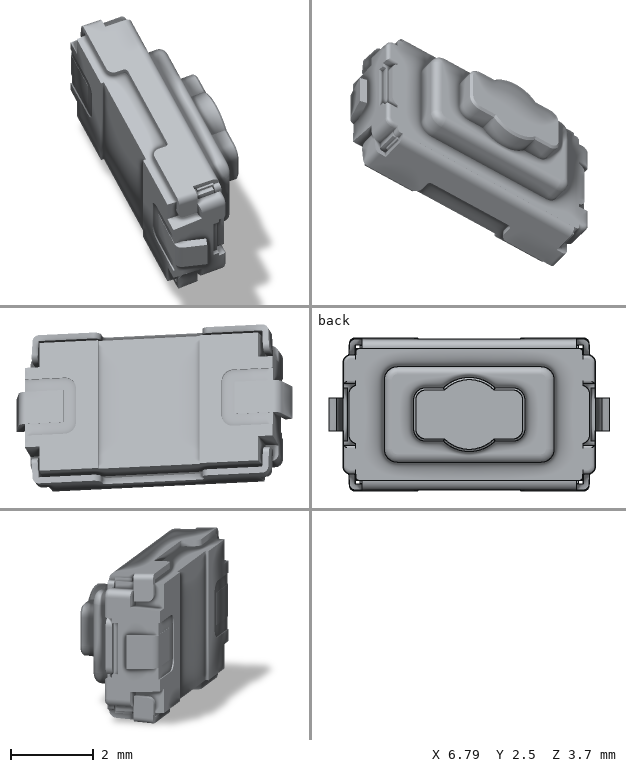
import cadquery as cq
import math


base_half_length = 3.05
base_top = 1.405
lower_half_width = 1.595
lower_half_length = 2.74
lower_top = 1.2
lower_draft = 0.055
end_half_width = 1.44
end_corner_radius = 0.18
end_top_radius = 0.095
notch_half_width = 0.99
notch_height_inner = 0.69
notch_height_outer = 0.755
rim_half_length = 2.64
rim_half_width = 1.67
rim_bottom = 0.815
channel_half_length = 1.25
channel_depth = 0.075
pad_inner_x = 1.79
pad_half_width = 0.7
pad_corner_radius = 0.28
pad_depth = 0.035
end_slot_half_width = 0.75
end_slot_lip_radius = 0.07
end_recess_half_width = 0.64
end_recess_bottom = 1.06
end_recess_depth = 0.1

sheet = 0.15
plate_bottom = 1.24
plate_half_width = lower_half_width
plate_corner_radius = 0.095
tongue_end_x = 2.905
tongue_half_width = 0.705
tongue_corner_radius = 0.205
cover_half_width = 3.7 / 2
skirt_flare = 2.7
skirt_bottom = 0.21
skirt_bend_radius = 0.19
skirt_half_length = 2.595
skirt_notch_top = 0.665
skirt_notch_top_radius = 0.09
skirt_notch_foot_radius = 0.175
ear_top = 0.705
ear_bend_x = 2.75
ear_tip_z = 1.14
ear_tip_radius = 0.16
ear_splay = 3.0

lead_reach = 3.395
lead_bottom = 0.03
lead_half_width = 0.4
lead_inner_x = 2.1
lead_thickness = 0.19
lead_tilt = 16.0
lead_arm = 0.6

shoulder_half_length = 2.05
shoulder_half_width = 1.155
shoulder_top = 1.995
shoulder_corner_radius = 0.31
shoulder_top_radius = 0.19
button_top = 2.5
button_half_length = 1.345
button_half_width = 0.645
button_corner_radius = 0.29
button_disc_radius = 0.895
button_edge_radius = 0.055


def box(x0, x1, y0, y1, z0, z1):
    return cq.Workplane("XY").box(x1 - x0, y1 - y0, z1 - z0, centered=False).translate((x0, y0, z0))


def centred_box(half_length, y0, y1, half_width):
    return box(-half_length, half_length, y0, y1, -half_width, half_width)


def both_ends(shape):
    return shape.union(shape.mirror("YZ"))


def both_sides(shape):
    return shape.union(shape.mirror("XY"))


def make_base():
    foot = lower_half_length - lower_draft
    lower = (
        cq.Workplane("XY")
        .polyline([
            (-foot, 0), (foot, 0), (lower_half_length, notch_height_inner), (lower_half_length, lower_top),
            (-lower_half_length, lower_top), (-lower_half_length, notch_height_inner),
        ])
        .close()
        .extrude(lower_half_width, both=True)
    )
    notch_top_half_width = notch_half_width + lower_draft
    middle = (
        cq.Workplane("YZ")
        .polyline([
            (0, -notch_half_width), (0, notch_half_width),
            (notch_height_outer, notch_top_half_width), (notch_height_outer, -notch_top_half_width),
        ])
        .close()
        .extrude(base_half_length, both=True)
    )
    upper = (
        cq.Workplane("XY")
        .polyline([
            (-base_half_length, notch_height_outer), (-lower_half_length, notch_height_inner),
            (lower_half_length, notch_height_inner), (base_half_length, notch_height_outer),
            (base_half_length, base_top), (-base_half_length, base_top),
        ])
        .close()
        .extrude(end_half_width, both=True)
        .edges("|Y").fillet(end_corner_radius)
        .faces(">Y").edges().fillet(end_top_radius)
    )
    rim = centred_box(rim_half_length, rim_bottom, plate_bottom, rim_half_width)
    base = lower.union(middle).union(upper).union(rim)

    base = base.cut(centred_box(channel_half_length, 0, channel_depth, lower_half_width))
    pad = (
        box(pad_inner_x, base_half_length, 0, pad_depth, -pad_half_width, pad_half_width)
        .edges("|Y and <X").fillet(pad_corner_radius)
    )
    tongue_opening = box(
        lower_half_length, base_half_length, lower_top, base_top, -end_slot_half_width, end_slot_half_width
    )
    lip_half_width = end_slot_half_width + end_slot_lip_radius
    lip_bottom = base_top - end_slot_lip_radius
    lip_block = box(
        lower_half_length, base_half_length, lip_bottom, base_top, -lip_half_width, lip_half_width
    )
    for side in (-1, 1):
        round_bar = (
            cq.Workplane("YZ", origin=(lower_half_length, lip_bottom, side * lip_half_width))
            .circle(end_slot_lip_radius)
            .extrude(base_half_length - lower_half_length)
        )
        lip_block = lip_block.cut(round_bar)
    recess = box(
        base_half_length - end_recess_depth, base_half_length, end_recess_bottom, lower_top,
        -end_recess_half_width, end_recess_half_width,
    )
    under_plate_gap = box(
        rim_half_length, lower_half_length, lower_top, plate_bottom, -lower_half_width, lower_half_width
    )
    return base.cut(both_ends(pad.union(tongue_opening).union(lip_block).union(recess).union(under_plate_gap)))


def make_plate():
    plate = (
        centred_box(lower_half_length, plate_bottom, base_top, plate_half_width)
        .edges("|Y").fillet(plate_corner_radius)
    )
    tongue = (
        box(0, tongue_end_x, plate_bottom, base_top, -tongue_half_width, tongue_half_width)
        .edges("|Y and >X").fillet(tongue_corner_radius)
    )
    return plate.union(both_ends(tongue))


def make_skirt():
    """Skirt on the +Z side with its two ears, built square and then tilted about its bend line."""
    hinge_y = base_top - skirt_bend_radius
    flare = math.radians(skirt_flare)
    drop = hinge_y - skirt_bottom
    hinge_z = cover_half_width - skirt_bend_radius * math.cos(flare) - drop * math.tan(flare)
    outer_z = hinge_z + skirt_bend_radius

    bend = (
        cq.Workplane("YZ").center(hinge_y, hinge_z).circle(skirt_bend_radius)
        .extrude(skirt_half_length, both=True)
        .intersect(box(-skirt_half_length, skirt_half_length, hinge_y - sheet, base_top, hinge_z - sheet, outer_z))
    )
    upper_wall = box(-skirt_half_length, skirt_half_length, ear_top, hinge_y, outer_z - sheet, outer_z)
    lower_wall = box(-ear_bend_x, ear_bend_x, skirt_bottom, ear_top, outer_z - sheet, outer_z)
    wall = upper_wall.union(lower_wall).cut(make_skirt_notch())
    skirt = wall.union(both_ends(make_ear(outer_z)))
    skirt = skirt.rotate((0, hinge_y, hinge_z), (1, hinge_y, hinge_z), -skirt_flare)
    return skirt.union(bend)


def make_skirt_notch():
    half = channel_half_length
    top_r = skirt_notch_top_radius
    foot_r = skirt_notch_foot_radius
    foot_y = skirt_bottom + foot_r
    shoulder_y = skirt_notch_top - top_r
    return (
        cq.Workplane("XY")
        .moveTo(-half - foot_r, skirt_bottom)
        .radiusArc((-half, foot_y), -foot_r)
        .lineTo(-half, shoulder_y)
        .radiusArc((-half + top_r, skirt_notch_top), top_r)
        .lineTo(half - top_r, skirt_notch_top)
        .radiusArc((half, shoulder_y), top_r)
        .lineTo(half, foot_y)
        .radiusArc((half + foot_r, skirt_bottom), -foot_r)
        .close()
        .extrude(2 * cover_half_width)
    )


def make_ear(outer_z):
    """Ear wrapped around the +X end of the skirt; the bend stops short so the ear splays outwards."""
    splay = math.radians(ear_splay)
    centre_z = outer_z - sheet
    leg = centre_z - ear_tip_z

    def bend_point(angle):
        return (ear_bend_x + sheet * math.cos(angle), centre_z + sheet * math.sin(angle))

    outer_x, outer_start_z = bend_point(splay)
    rise = outer_start_z - centre_z
    lean = leg * math.tan(splay)
    mid_angle = (math.pi / 2 + splay) / 2
    return (
        cq.Workplane("XZ", origin=(0, skirt_bottom, 0))
        .moveTo(ear_bend_x, outer_z)
        .threePointArc(bend_point(mid_angle), bend_point(splay))
        .lineTo(outer_x + lean, ear_tip_z + rise)
        .lineTo(ear_bend_x + lean, ear_tip_z)
        .lineTo(ear_bend_x, centre_z)
        .close()
        .extrude(skirt_bottom - ear_top)
        .faces("<Z").edges("<Y").fillet(ear_tip_radius)
    )


def make_lead():
    """Lead at +X: flat foot in its recess, bent about a sharp inner corner into a tilted arm."""
    tilt = math.radians(lead_tilt)
    across_x = lead_thickness * math.cos(tilt)
    across_y = lead_thickness * math.sin(tilt)
    along_x = lead_arm * math.sin(tilt)
    along_y = lead_arm * math.cos(tilt)
    corner_x = lead_reach - across_x - along_x
    corner_y = lead_bottom + lead_thickness
    half_bend = (math.pi / 2 - tilt) / 2
    bend_mid = (
        corner_x + lead_thickness * math.sin(half_bend),
        corner_y - lead_thickness * math.cos(half_bend),
    )
    return (
        cq.Workplane("XY")
        .moveTo(lead_inner_x, lead_bottom)
        .lineTo(corner_x, lead_bottom)
        .threePointArc(bend_mid, (corner_x + across_x, corner_y - across_y))
        .lineTo(lead_reach, corner_y - across_y + along_y)
        .lineTo(corner_x + along_x, corner_y + along_y)
        .lineTo(corner_x, corner_y)
        .lineTo(lead_inner_x, corner_y)
        .close()
        .extrude(lead_half_width, both=True)
    )


def make_button():
    shoulder = (
        centred_box(shoulder_half_length, lower_top, shoulder_top, shoulder_half_width)
        .edges("|Y").fillet(shoulder_corner_radius)
        .faces(">Y").edges().fillet(shoulder_top_radius)
    )
    bar = (
        centred_box(button_half_length, lower_top, button_top, button_half_width)
        .edges("|Y").fillet(button_corner_radius)
    )
    disc = (
        cq.Workplane("XZ", origin=(0, lower_top, 0)).circle(button_disc_radius).extrude(lower_top - button_top)
    )
    key = bar.union(disc).faces(">Y").edges().chamfer(button_edge_radius)
    return shoulder.union(key)


result = (
    make_base()
    .union(make_plate())
    .union(both_sides(make_skirt()))
    .union(both_ends(make_lead()))
    .union(make_button())
)